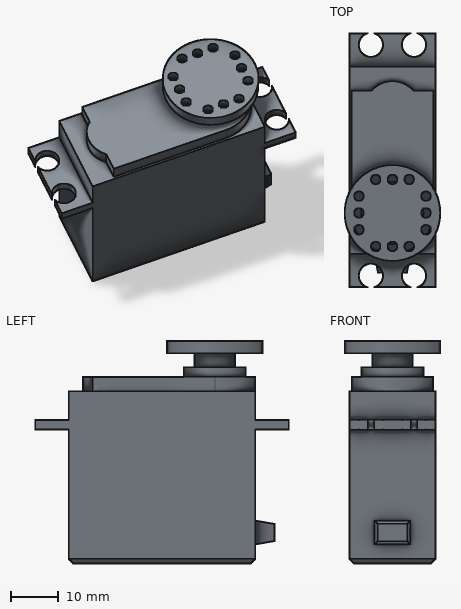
import cadquery as cq
import math

case_width = 18.0
case_length = 39.0
case_height = 36.0
case_bottom_chamfer = 1.0
case_front_y = -case_length / 2

overall_length = 53.0
tab_bottom_z = 28.0
tab_thickness = 2.0
tab_hole_diameter = 5.0
tab_hole_spacing = 9.0
tab_hole_edge_distance = 2.4

cover_width = 17.0
cover_height = 3.0
cover_flat_back_y = 14.5
cover_lobe_radius = 6.0
cover_lobe_y = 10.5
shaft_y = case_front_y + cover_width / 2
cover_top_z = case_height + cover_height

collar_diameter = 13.0
collar_height = 2.0
neck_diameter = 8.5
overall_height = 46.5
horn_diameter = 20.0
horn_thickness = 2.6
horn_bottom_z = overall_height - horn_thickness
collar_top_z = cover_top_z + collar_height

horn_hole_diameter = 2.0
horn_hole_offset = 7.0
horn_hole_pitch = 3.5

cable_exit_width = 7.5
cable_exit_height = 5.0
cable_exit_bottom_z = 4.0
cable_exit_length = 4.0
cable_exit_taper = 10.0


def cylinder(diameter, bottom_z, top_z):
    """Upright cylinder on the output shaft axis."""
    return (
        cq.Workplane("XY", origin=(0, shaft_y, bottom_z))
        .circle(diameter / 2)
        .extrude(top_z - bottom_z)
    )


def make_case():
    case = cq.Workplane("XY").box(case_width, case_length, case_height, centered=(True, True, False))
    return case.faces("<Z").chamfer(case_bottom_chamfer)


def make_tabs():
    """One plate through the case; its holes break out through the outer edges."""
    plate = cq.Workplane("XY", origin=(0, 0, tab_bottom_z)).box(
        case_width, overall_length, tab_thickness, centered=(True, True, False)
    )
    hole_row_spacing = overall_length - 2 * tab_hole_edge_distance
    holes = (
        cq.Workplane("XY", origin=(0, 0, tab_bottom_z))
        .rarray(tab_hole_spacing, hole_row_spacing, 2, 2)
        .circle(tab_hole_diameter / 2)
        .extrude(tab_thickness)
    )
    return plate.cut(holes)


def make_cover():
    half_width = cover_width / 2
    lobe_half_chord = math.sqrt(cover_lobe_radius**2 - (cover_flat_back_y - cover_lobe_y) ** 2)
    return (
        cq.Workplane("XY", origin=(0, 0, case_height))
        .moveTo(-half_width, shaft_y)
        .threePointArc((0, case_front_y), (half_width, shaft_y))
        .lineTo(half_width, cover_flat_back_y)
        .lineTo(lobe_half_chord, cover_flat_back_y)
        .threePointArc((0, cover_lobe_y + cover_lobe_radius), (-lobe_half_chord, cover_flat_back_y))
        .lineTo(-half_width, cover_flat_back_y)
        .close()
        .extrude(cover_height)
    )


def make_horn():
    hole_points = []
    for side in (-horn_hole_offset, horn_hole_offset):
        for along in (-horn_hole_pitch, 0, horn_hole_pitch):
            hole_points.append((side, along))
            hole_points.append((along, side))
    holes = (
        cq.Workplane("XY", origin=(0, shaft_y, horn_bottom_z))
        .pushPoints(hole_points)
        .circle(horn_hole_diameter / 2)
        .extrude(horn_thickness)
    )
    return cylinder(horn_diameter, horn_bottom_z, overall_height).cut(holes)


def make_cable_exit():
    center_z = cable_exit_bottom_z + cable_exit_height / 2
    return (
        cq.Workplane("XZ", origin=(0, case_front_y, center_z))
        .rect(cable_exit_width, cable_exit_height)
        .extrude(cable_exit_length, taper=cable_exit_taper)
    )


collar = cylinder(collar_diameter, cover_top_z, collar_top_z)
neck = cylinder(neck_diameter, collar_top_z, horn_bottom_z)

result = (
    make_case()
    .union(make_tabs())
    .union(make_cover())
    .union(collar)
    .union(neck)
    .union(make_horn())
    .union(make_cable_exit())
)